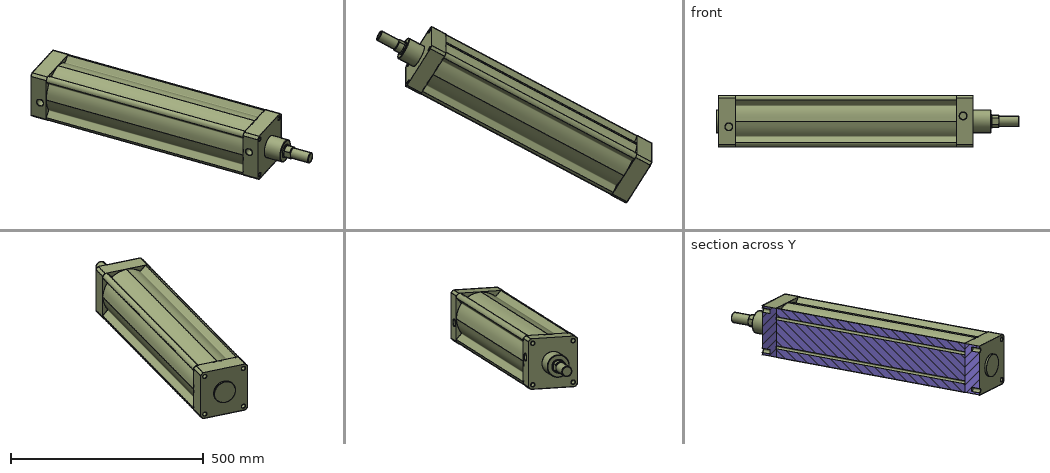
import cadquery as cq
import math

overall_length = 785.0
body_side = 134.0
half_side = body_side / 2

rear_boss_length = 5.5
rear_cap_length = 45.0
front_cap_start = 622.5
front_cap_length = 43.0
cap_chamfer = 7.0
boss_diameter = 60.0
front_boss_length = 46.0
boss_edge_chamfer = 1.2

lip_length = 3.0
lip_base_diameter = 36.0
lip_tip_diameter = 33.0

screw_offset = 55.0
screw_hole_diameter = 10.0
screw_hole_depth = 23.5

mouth_chamfer = 1.0

port_diameter = 19.0
port_depth = 23.5
port_height = 14.0
rear_port_x = 32.0
front_port_x = 640.0

quarters = 4
barrel_radius = 66.0
ridge_half_width = 9.0
groove_fillet = 2.0
rib_radius = half_side - screw_offset

rod_diameter = 32.0
thread_diameter = 27.5
flats_width = thread_diameter
shoulder_end = 733.0
shoulder_chamfer = 1.5
tip_chamfer = 1.5

rear_cap_end = rear_boss_length + rear_cap_length
front_cap_end = front_cap_start + front_cap_length
front_boss_end = front_cap_end + front_boss_length
lip_end = front_boss_end + lip_length


def along_x(start):
    """Sketch plane across the axis: local x is +Y, local y is +Z, normal is +X."""
    return cq.Workplane("YZ", origin=(start, 0, 0))


def cap_block(start, length):
    """Square block with its four long edges chamfered."""
    block = along_x(start).rect(body_side, body_side).extrude(length)
    return block.edges("|X").chamfer(cap_chamfer)


def countersunk_cutter(diameter, depth, mouth, inward):
    """Cutter for a blind round hole with a 45 degree countersink at its mouth."""
    radius = diameter / 2
    hole = cq.Solid.makeCylinder(radius, depth, mouth, inward)
    countersink = cq.Solid.makeCone(radius + mouth_chamfer, radius, mouth_chamfer, mouth, inward)
    return cq.Workplane(hole.fuse(countersink))


def cut_screw_holes(cap, face_x, inward_x):
    """Cut the four corner screw holes into an outer cap face."""
    for y_sign in (-1, 1):
        for z_sign in (-1, 1):
            mouth = cq.Vector(face_x, y_sign * screw_offset, z_sign * screw_offset)
            inward = cq.Vector(inward_x, 0, 0)
            cap = cap.cut(countersunk_cutter(screw_hole_diameter, screw_hole_depth, mouth, inward))
    return cap


def cut_port(cap, x, z):
    """Cut a blind air port into the -Y side of a cap."""
    mouth = cq.Vector(x, -half_side, z)
    inward = cq.Vector(0, 1, 0)
    return cap.cut(countersunk_cutter(port_diameter, port_depth, mouth, inward))


def make_rear_cap():
    cap = cap_block(rear_boss_length, rear_cap_length)
    boss = along_x(0).circle(boss_diameter / 2).extrude(rear_boss_length)
    cap = cap.union(boss)
    cap = cut_screw_holes(cap, rear_boss_length, 1)
    return cut_port(cap, rear_port_x, -port_height)


def make_front_cap():
    cap = cap_block(front_cap_start, front_cap_length)
    boss = along_x(front_cap_end).circle(boss_diameter / 2).extrude(front_boss_length)
    boss = boss.faces(">X").chamfer(boss_edge_chamfer)
    lip = cq.Workplane(
        cq.Solid.makeCone(
            lip_base_diameter / 2,
            lip_tip_diameter / 2,
            lip_length,
            cq.Vector(front_boss_end, 0, 0),
            cq.Vector(1, 0, 0),
        )
    )
    rod_bore = along_x(front_cap_start).circle(rod_diameter / 2).extrude(lip_end - front_cap_start)
    cap = cap.union(boss).union(lip).cut(rod_bore)
    cap = cut_screw_holes(cap, front_cap_end, -1)
    return cut_port(cap, front_port_x, port_height)


def quarter_turned(point, quarter):
    """Turn a (y, z) point about the cylinder axis by a number of quarter turns."""
    y, z = point
    for _ in range(quarter):
        y, z = -z, y
    return (y, z)


def make_barrel():
    """Round barrel with a low ridge along each side and a tie-rod rib at each corner."""
    groove_angle = math.pi / 4 - math.asin(rib_radius / math.sqrt(2) / barrel_radius)
    ridge_angle = math.asin(ridge_half_width / barrel_radius)

    def on_barrel(angle):
        return (barrel_radius * math.cos(angle), barrel_radius * math.sin(angle))

    ridge_edge = on_barrel(ridge_angle)
    arc_mid = on_barrel((ridge_angle + groove_angle) / 2)
    groove = on_barrel(groove_angle)
    rib_edge = (half_side, screw_offset)
    rib_tip = screw_offset + rib_radius * math.cos(math.pi / 4)

    ridge_crest = (half_side, 0)
    profile = along_x(rear_cap_end).moveTo(*ridge_crest)
    for quarter in range(quarters):
        first_half = [quarter_turned(p, quarter) for p in (ridge_edge, arc_mid, groove, rib_edge)]
        second_half = [quarter_turned(p[::-1], quarter) for p in (rib_edge, groove, arc_mid, ridge_edge)]
        profile = (
            profile
            .lineTo(*first_half[0])
            .threePointArc(first_half[1], first_half[2])
            .lineTo(*first_half[3])
            .threePointArc(quarter_turned((rib_tip, rib_tip), quarter), second_half[0])
            .lineTo(*second_half[1])
            .threePointArc(second_half[2], second_half[3])
        )
        is_last = quarter == quarters - 1
        if not is_last:
            profile = profile.lineTo(*quarter_turned(ridge_crest, quarter + 1))
    barrel = profile.close().extrude(front_cap_start - rear_cap_end)

    barrel_middle = (rear_cap_end + front_cap_start) / 2
    for quarter in range(quarters):
        for corner in (groove, groove[::-1]):
            edge_point = (barrel_middle, *quarter_turned(corner, quarter))
            barrel = barrel.edges(cq.selectors.NearestToPointSelector(edge_point)).fillet(groove_fillet)
    return barrel


def make_rod():
    shank = along_x(front_cap_start).circle(rod_diameter / 2).extrude(shoulder_end - front_cap_start)
    shank = shank.faces(">X").chamfer(shoulder_chamfer)
    thread = along_x(shoulder_end).circle(thread_diameter / 2).extrude(overall_length - shoulder_end)
    thread = thread.faces(">X").chamfer(tip_chamfer)
    rod = shank.union(thread)

    flats_length = shoulder_end - lip_end
    flats_band = along_x(lip_end).rect(body_side, body_side).extrude(flats_length)
    kept_core = along_x(lip_end).rect(flats_width, body_side).extrude(flats_length)
    return rod.cut(flats_band.cut(kept_core))


rear_cap = make_rear_cap().solids()
barrel = make_barrel().solids()
front_cap = make_front_cap().solids()
piston_rod = make_rod().solids()

result = cq.Compound.makeCompound([rear_cap.val(), barrel.val(), front_cap.val(), piston_rod.val()])